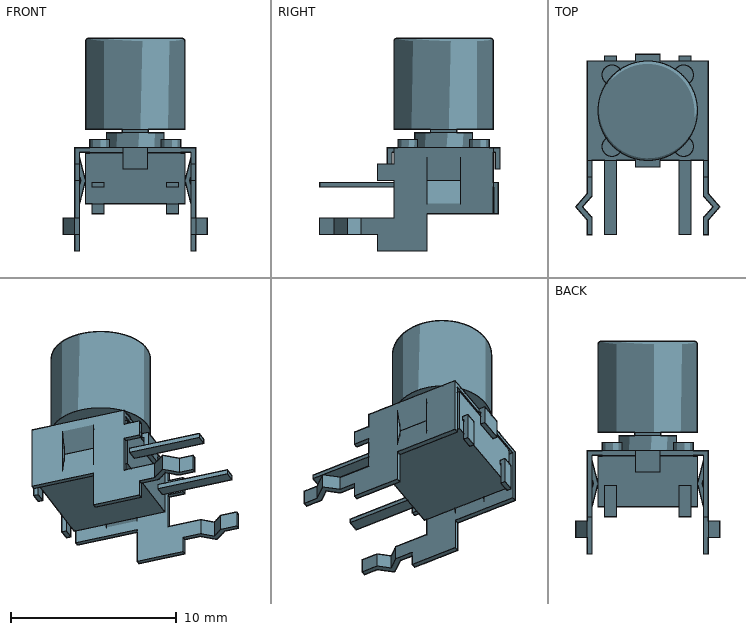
import cadquery as cq


overall_height = 12.85
cap_diameter = 6.0
cap_height = 5.5
cap_fillet = 0.19
cap_bottom = overall_height - cap_height
plunger_width = 1.59
collar_diameter = 3.5
collar_top = 7.15

sheet = 0.3
bracket_width = 7.3
bracket_depth = 6.0
bracket_top = 6.25
bracket_half_width = bracket_width / 2
bracket_front = -bracket_depth / 2
bracket_back = bracket_depth / 2
wall_inside = bracket_half_width - sheet
wall_bottom = 2.25
leg_back = -1.0
stop_length = 1.0
stop_front = bracket_front - stop_length
stop_bottom = 4.25
stop_top = 5.25
arm_bottom = 1.0
arm_top = 2.0
arm_front = -7.49

snap_width = 8.7
snap_tip = -5.8
snap_half_length = 0.81
snap_inner_half_length = 0.64
snap_inner_x = 3.93

tab_width = 1.5
tab_reach = 3.4
tab_bottom = 4.95

dimple_length = 2.0
dimple_bottom = 2.85
dimple_top = 5.65
dimple_middle = (dimple_bottom + dimple_top) / 2
dimple_inner_x = 3.0
dimple_outer_x = dimple_inner_x + sheet

housing_width = 6.0
housing_depth = 5.9
housing_bottom = 2.85
housing_top = 5.91
post_diameter = 1.2
post_spacing = 4.32
post_top = 6.75

pin_width = 0.75
pin_thickness = 0.3
pin_x = 2.25
pin_top = 4.15
pin_tail_bottom = 2.25
pin_back = 3.3
pin_front = -7.48


def block(x_range, y_range, z_range):
    """Axis-aligned box between the given limits."""
    corner = (x_range[0], y_range[0], z_range[0])
    size = (x_range[1] - x_range[0], y_range[1] - y_range[0], z_range[1] - z_range[0])
    return cq.Workplane("XY").box(*size, centered=False).translate(corner)


def centered_block(width, depth, bottom, top):
    """Box centred on the button axis."""
    return block((-width / 2, width / 2), (-depth / 2, depth / 2), (bottom, top))


def cylinder(diameter, bottom, top):
    """Upright cylinder on the button axis."""
    return cq.Workplane("XY").workplane(offset=bottom).circle(diameter / 2).extrude(top - bottom)


def dimple_wedge(base_x, apex_x):
    """Triangular prism along Y that points inward from base_x to apex_x."""
    profile = [(base_x, dimple_bottom), (apex_x, dimple_middle), (base_x, dimple_top)]
    return cq.Workplane("XZ").polyline(profile).close().extrude(dimple_length / 2, both=True)


def snap_arm():
    """Forward arm of the +X wall with its V-shaped outward bend."""
    outline = [
        (wall_inside, stop_front),
        (bracket_half_width, stop_front),
        (bracket_half_width, snap_tip + snap_half_length),
        (snap_width / 2, snap_tip),
        (bracket_half_width, snap_tip - snap_half_length),
        (bracket_half_width, arm_front),
        (wall_inside, arm_front),
        (wall_inside, snap_tip - snap_inner_half_length),
        (snap_inner_x, snap_tip),
        (wall_inside, snap_tip + snap_inner_half_length),
    ]
    arm = cq.Workplane("XY").workplane(offset=arm_bottom).polyline(outline).close()
    return arm.extrude(arm_top - arm_bottom)


def side_wall():
    """Complete +X wall: stepped sheet, snap arm and dimple."""
    outline = [
        (bracket_back, bracket_top),
        (bracket_back, wall_bottom),
        (leg_back, wall_bottom),
        (leg_back, 0),
        (stop_front, 0),
        (stop_front, arm_top),
        (bracket_front, arm_top),
        (bracket_front, stop_bottom),
        (stop_front, stop_bottom),
        (stop_front, stop_top),
        (bracket_front, stop_top),
        (bracket_front, bracket_top),
    ]
    sheet_plane = cq.Workplane("YZ").workplane(offset=wall_inside)
    wall = sheet_plane.polyline(outline).close().extrude(sheet)
    wall = wall.union(snap_arm()).union(dimple_wedge(wall_inside, dimple_inner_x))
    return wall.cut(dimple_wedge(bracket_half_width, dimple_outer_x))


def bracket():
    """Top plate with two folded tabs and two mirrored side walls."""
    plate_bottom = bracket_top - sheet
    half_tab = tab_width / 2
    body = centered_block(bracket_width, bracket_depth, plate_bottom, bracket_top)
    body = body.union(centered_block(tab_width, 2 * tab_reach, plate_bottom, bracket_top))
    fold_inside = tab_reach - sheet
    tab = block((-half_tab, half_tab), (fold_inside, tab_reach), (tab_bottom, bracket_top))
    wall = side_wall()
    body = body.union(tab).union(tab.mirror("XZ"))
    return body.union(wall).union(wall.mirror("YZ"))


def housing():
    """Housing block with four posts that pass up through the top plate."""
    body = centered_block(housing_width, housing_depth, housing_bottom, housing_top)
    posts = (
        cq.Workplane("XY")
        .workplane(offset=housing_bottom)
        .rarray(post_spacing, post_spacing, 2, 2)
        .circle(post_diameter / 2)
        .extrude(post_top - housing_bottom)
    )
    return body.union(posts)


def button():
    """Round cap on a square plunger that rises from a round collar."""
    cap = cylinder(cap_diameter, cap_bottom, overall_height).faces(">Z").edges().fillet(cap_fillet)
    plunger = centered_block(plunger_width, plunger_width, collar_top, cap_bottom)
    collar = cylinder(collar_diameter, housing_bottom, collar_top)
    return cap.union(plunger).union(collar)


def pin(center_x):
    """Terminal that runs through the housing and is bent down behind it."""
    x_range = (center_x - pin_width / 2, center_x + pin_width / 2)
    blade = block(x_range, (pin_front, pin_back), (pin_top - pin_thickness, pin_top))
    tail = block(x_range, (pin_back - pin_thickness, pin_back), (pin_tail_bottom, pin_top))
    return blade.union(tail)


result = bracket().union(housing()).union(button())
for side in (-1, 1):
    result = result.union(pin(side * pin_x))